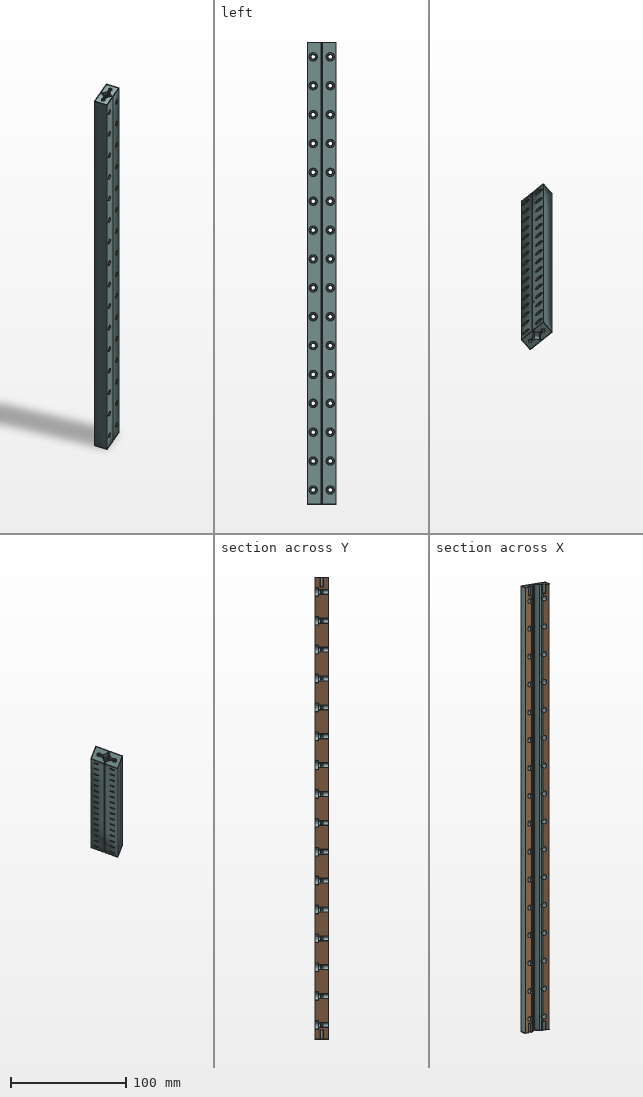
import cadquery as cq

rail_length = 400.0
rail_thickness = 12.0
pair_width = 25.0

rail_gap = 1.0
inner_face = rail_gap / 2
outer_face = pair_width / 2

groove_width = 8.5
groove_half_width = groove_width / 2
groove_apex = inner_face + groove_half_width
relief_width = 2.0
relief_floor = 5.5

end_chamfer = 0.2

mount_count = 16
mount_pitch = rail_length / mount_count
mount_spacing = 15.0
mount_offset = mount_spacing / 2
mount_diameter = 4.0
counterbore_diameter = 7.0
counterbore_depth = 3.0

end_hole_diameter = 3.0
end_hole_depth = 8.0


def rail_bar():
    """Bar on the +Y side with the V groove and relief slot in its inner face."""
    half_thickness = rail_thickness / 2
    half_relief = relief_width / 2
    relief_mouth = groove_apex - half_relief
    outline = [
        (-half_thickness, outer_face),
        (-half_thickness, inner_face),
        (-groove_half_width, inner_face),
        (-half_relief, relief_mouth),
        (-half_relief, relief_floor),
        (half_relief, relief_floor),
        (half_relief, relief_mouth),
        (groove_half_width, inner_face),
        (half_thickness, inner_face),
        (half_thickness, outer_face),
    ]
    bar = cq.Workplane("XY").polyline(outline).close().extrude(rail_length)
    return bar.edges("(<Z or >Z) and (<X or >X or >Y)").chamfer(end_chamfer)


def mounting_holes():
    """Row of through holes along X, counterbored from the -X face."""
    face = cq.Workplane("YZ", origin=(-rail_thickness / 2, 0, 0))
    centres = [(mount_offset, (i + 0.5) * mount_pitch) for i in range(mount_count)]
    through = face.pushPoints(centres).circle(mount_diameter / 2).extrude(rail_thickness)
    counterbores = face.pushPoints(centres).circle(counterbore_diameter / 2).extrude(counterbore_depth)
    return through.union(counterbores)


def end_holes():
    """Blind screw holes along Z, one in each end of the rail."""
    profile = cq.Workplane("XY").center(0, mount_offset).circle(end_hole_diameter / 2)
    bottom_hole = profile.extrude(end_hole_depth)
    top_hole = bottom_hole.translate((0, 0, rail_length - end_hole_depth))
    return bottom_hole.union(top_hole)


def make_rail(side):
    """Rail on the +Y side (side = 1) or its mirror image on the -Y side (side = -1)."""
    rail = rail_bar().cut(mounting_holes()).cut(end_holes())
    return rail if side > 0 else rail.mirror("XZ")


rails = [make_rail(side) for side in (1, -1)]

result = cq.Compound.makeCompound([rail.val() for rail in rails])